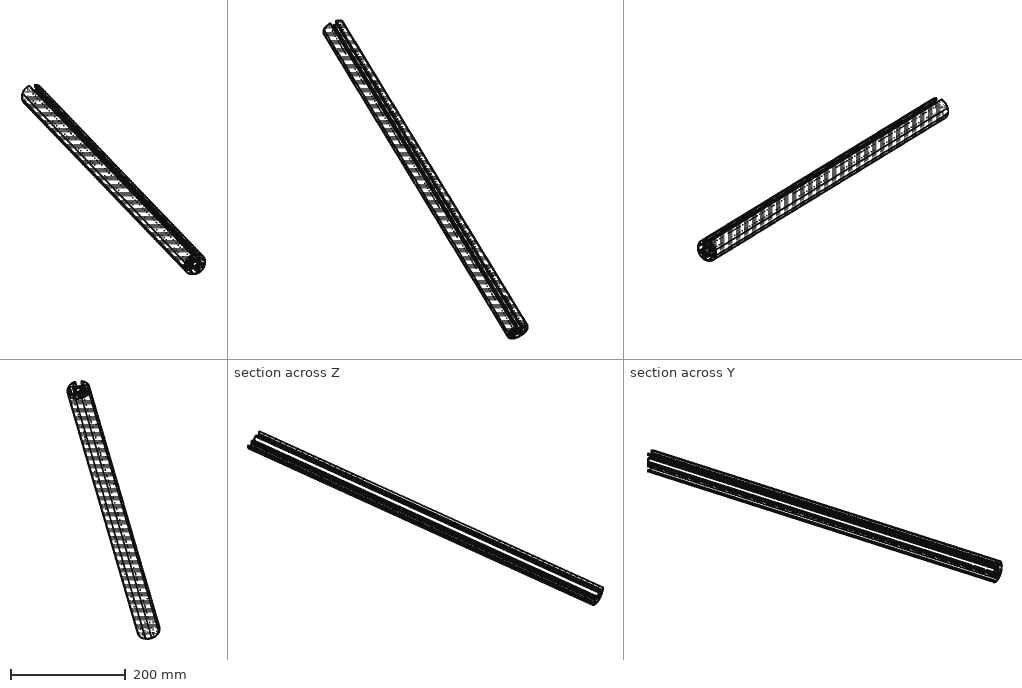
import cadquery as cq

length = 700.0
outer_diameter = 40.0
lip_thickness = 4.75
mouth_width_inside = 10.0
mouth_width_outside = 11.0
cover_thickness = 2.0
cavity_width = 18.0
core_width = 17.0
floor_width = 13.0
groove_width = 1.5
groove_depth = 2.25
core_wall = 1.75
tube_diameter = 14.0
bore_diameter = 8.5

outer_radius = outer_diameter / 2
core_half = core_width / 2


def section():
    """Workplane of the YZ section at the -X end, with Y across and Z up."""
    return cq.Workplane("YZ").workplane(offset=-length / 2)


def round_bar(diameter):
    return section().circle(diameter / 2).extrude(length)


def slot(mouth_end):
    """T-slot with a floor groove, facing +Z, whose mouth runs out to z = mouth_end."""
    lip_underside = outer_radius - lip_thickness
    web_end = core_half + (cavity_width - floor_width) / 2
    right_side = [
        (groove_width / 2, core_half - groove_depth),
        (groove_width / 2, core_half),
        (floor_width / 2, core_half),
        (cavity_width / 2, web_end),
        (cavity_width / 2, lip_underside),
        (mouth_width_inside / 2, lip_underside),
        (mouth_width_outside / 2, mouth_end),
    ]
    left_side = [(-y, z) for y, z in reversed(right_side)]
    return section().polyline(right_side + left_side).close().extrude(length)


def core_cavities():
    """Four corner cavities between the square core walls and the round tube."""
    inner_width = core_width - 2 * core_wall
    square = section().rect(inner_width, inner_width).extrude(length)
    return square.cut(round_bar(tube_diameter))


result = round_bar(outer_diameter)

result = result.cut(slot(outer_radius))

covered_slot = slot(outer_radius - cover_thickness)
for angle in (90, 180, 270):
    result = result.cut(covered_slot.rotate((0, 0, 0), (1, 0, 0), angle))

result = result.cut(core_cavities())
result = result.cut(round_bar(bore_diameter))